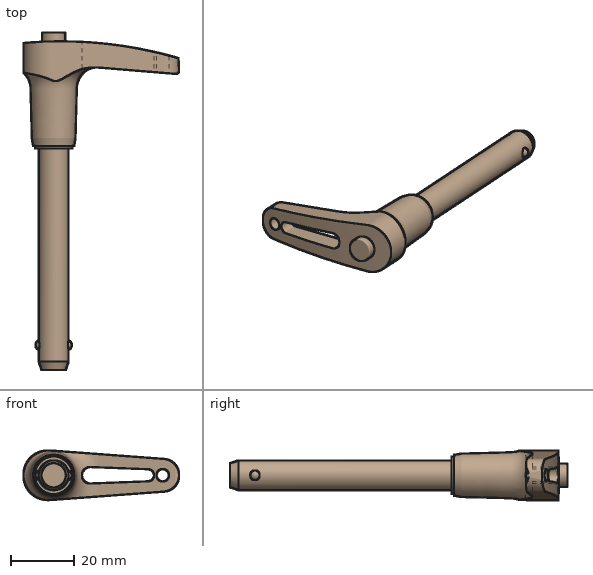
import cadquery as cq
import math


overall_length = 107.1
pin_diameter = 9.5
pin_radius = pin_diameter / 2
tip_radius = 3.9
tip_chamfer_length = 2.7
ball_y = 7.9
ball_radius = 1.6
ball_center_x = 4.2

button_radius = 3.7
button_edge_round = 0.4

collar_start_y = 70.2
collar_radius = 6.0
sleeve_start_y = 71.1
sleeve_end_radius = 6.5
taper_start_y = 73.4
taper_start_radius = 7.0
neck_y = 89.4
neck_radius = 7.4

cove_radius = 6.5
cove_center_radius = neck_radius + cove_radius
cove_top_y = neck_y + cove_radius

head_radius = 7.9
head_x = -1.7
tip_end_radius = 5.2
tip_end_x = 34.6
handle_left_x = head_x - head_radius
handle_right_x = tip_end_x + tip_end_radius

crown_left_y = 103.7
crown_middle_x = 19.3
crown_middle_y = 103.2
crown_right_y = 98.9
tip_lean = 0.2
tip_bottom_y = 93.8
tip_bottom_round = 1.1

cord_hole_radius = 1.9
slot_left_radius = 2.6
slot_right_width = 3.7
slot_right_radius = slot_right_width / 2
slot_start_x = 9.0
slot_end_x = 31.8
slot_left_x = slot_start_x + slot_left_radius
slot_right_x = slot_end_x - slot_right_radius


def tapered_bar(left_x, left_radius, right_x, right_radius):
    """Bar along Y whose section is two round ends joined by tangent lines."""
    lean = math.asin((left_radius - right_radius) / (right_x - left_x))
    left_tangent_x = left_x + left_radius * math.sin(lean)
    left_tangent_z = left_radius * math.cos(lean)
    right_tangent_x = right_x + right_radius * math.sin(lean)
    right_tangent_z = right_radius * math.cos(lean)
    return (
        cq.Workplane("XZ")
        .moveTo(left_tangent_x, left_tangent_z)
        .lineTo(right_tangent_x, right_tangent_z)
        .threePointArc((right_x + right_radius, 0), (right_tangent_x, -right_tangent_z))
        .lineTo(left_tangent_x, -left_tangent_z)
        .threePointArc((left_x - left_radius, 0), (left_tangent_x, left_tangent_z))
        .close()
        .extrude(-overall_length)
    )


def handle_side_profile():
    """Plate with the crowned back, leaning tip and sloping underside of the handle."""
    plate = (
        cq.Workplane("XY")
        .moveTo(handle_left_x, cove_top_y)
        .lineTo(handle_left_x, crown_left_y)
        .threePointArc(
            (crown_middle_x, crown_middle_y), (handle_right_x - tip_lean, crown_right_y)
        )
        .lineTo(handle_right_x, tip_bottom_y + tip_bottom_round)
        .lineTo(handle_right_x, tip_bottom_y)
        .lineTo(cove_center_radius, cove_top_y)
        .close()
        .extrude(head_radius, both=True)
    )
    lower_tip_edge = cq.selectors.NearestToPointSelector((handle_right_x, tip_bottom_y, 0))
    return plate.edges(lower_tip_edge).fillet(tip_bottom_round)


def neck_flare():
    """Concave flare turned about the pin axis."""
    arc_reach = cove_radius * math.sqrt(0.5)
    return (
        cq.Workplane("XY")
        .moveTo(0, neck_y)
        .lineTo(neck_radius, neck_y)
        .threePointArc(
            (cove_center_radius - arc_reach, neck_y + arc_reach),
            (cove_center_radius, cove_top_y),
        )
        .lineTo(0, cove_top_y)
        .close()
        .revolve(360, (0, 0), (0, 1))
    )


def handle():
    outline = tapered_bar(head_x, head_radius, tip_end_x, tip_end_radius)
    body = handle_side_profile().union(neck_flare()).intersect(outline)
    slot = tapered_bar(slot_left_x, slot_left_radius, slot_right_x, slot_right_radius)
    cord_hole = (
        cq.Workplane("XZ")
        .center(tip_end_x, 0)
        .circle(cord_hole_radius)
        .extrude(-overall_length)
    )
    return body.cut(slot).cut(cord_hole)


def pin_and_sleeve():
    """Chamfered pin, stepped collar and tapered sleeve, ending inside the handle."""
    return (
        cq.Workplane("XY")
        .lineTo(tip_radius, 0)
        .lineTo(pin_radius, tip_chamfer_length)
        .lineTo(pin_radius, collar_start_y)
        .lineTo(collar_radius, collar_start_y)
        .lineTo(collar_radius, sleeve_start_y)
        .lineTo(sleeve_end_radius, sleeve_start_y)
        .lineTo(taper_start_radius, taper_start_y)
        .lineTo(neck_radius, neck_y)
        .lineTo(0, neck_y)
        .close()
        .revolve(360, (0, 0), (0, 1))
    )


def button():
    return (
        cq.Workplane("XZ", origin=(0, cove_top_y, 0))
        .circle(button_radius)
        .extrude(cove_top_y - overall_length)
        .faces(">Y")
        .edges()
        .fillet(button_edge_round)
    )


result = pin_and_sleeve().union(handle()).union(button())
for side in (-1, 1):
    ball = cq.Workplane("XY").sphere(ball_radius).translate((side * ball_center_x, ball_y, 0))
    result = result.union(ball)